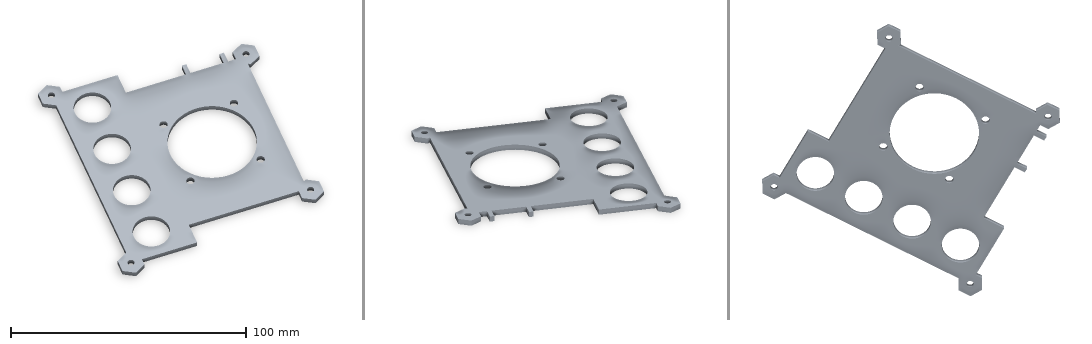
import cadquery as cq
import math

plate_thickness = 2.5
button_panel_width = 95.0
button_panel_depth = 30.0
fan_panel_width = 75.0
plate_depth = 84.0

lug_sides = 6
overall_width = 106.5
overall_depth = 95.0
lug_across_corners = overall_width - button_panel_width
lug_across_flats = lug_across_corners * math.cos(math.pi / lug_sides)
front_lug_spacing = button_panel_width
rear_lug_spacing = 77.0
rear_lug_y = overall_depth - lug_across_flats
lug_hole_diameter = 3.0

fan_center_y = 55.0
fan_opening_diameter = 38.0
fan_screw_spacing = 32.0
fan_screw_diameter = 3.5

button_count = 4
button_pitch = 23.4
button_row_y = 14.0
button_hole_diameter = 16.0

tab_length = 5.0
tab_width = 2.0
tab_centers_y = (58.4, 75.5)

lug_points = [
    (side * spacing / 2, y)
    for spacing, y in ((front_lug_spacing, 0), (rear_lug_spacing, rear_lug_y))
    for side in (-1, 1)
]


def panel(width, depth):
    """Plate centered on X that reaches back from the front edge."""
    return cq.Workplane("XY").box(width, depth, plate_thickness, centered=(True, False, False))


def lugs():
    """Hexagonal lugs with corners pointing along X."""
    return (
        cq.Workplane("XY")
        .pushPoints(lug_points)
        .polygon(lug_sides, lug_across_corners)
        .extrude(plate_thickness)
    )


def edge_tab(center_y):
    """Bar that sticks out from the left edge of the fan panel."""
    return (
        cq.Workplane("XY")
        .box(tab_length, tab_width, plate_thickness, centered=(False, True, False))
        .translate((-fan_panel_width / 2 - tab_length, center_y, 0))
    )


def through_holes(points, diameter):
    """Cutters for equal holes through the full plate thickness."""
    return cq.Workplane("XY").pushPoints(points).circle(diameter / 2).extrude(plate_thickness)


body = panel(button_panel_width, button_panel_depth)
body = body.union(panel(fan_panel_width, plate_depth))
body = body.union(lugs())
for tab_y in tab_centers_y:
    body = body.union(edge_tab(tab_y))

fan_screw_points = [
    (side_x * fan_screw_spacing / 2, fan_center_y + side_y * fan_screw_spacing / 2)
    for side_x in (-1, 1)
    for side_y in (-1, 1)
]
button_points = [
    ((index - (button_count - 1) / 2) * button_pitch, button_row_y)
    for index in range(button_count)
]

body = body.cut(through_holes(lug_points, lug_hole_diameter))
body = body.cut(through_holes([(0, fan_center_y)], fan_opening_diameter))
body = body.cut(through_holes(fan_screw_points, fan_screw_diameter))
result = body.cut(through_holes(button_points, button_hole_diameter))